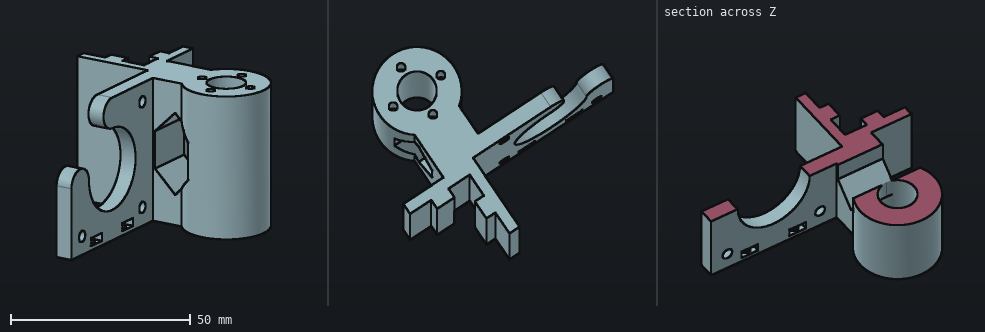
import cadquery as cq
import math

height = 42.0

profile_width = 20.0
wall_thickness = 3.45
wall_reach = profile_width + wall_thickness
rib_width = 5.8
rib_height = 3.0

tube_x = 24.5
tube_y = 2.5
tube_diameter = 25.0
bore_diameter = 11.0
arm_width = 15.0
tube_screw_diameter = 2.4
tube_screw_circle_radius = 8.0
tube_screw_depth = 10.0

window_width = 13.35
window_height = 24.0
window_side_height = 11.0
window_x = tube_x - bore_diameter / 2 - window_width / 2

plate_thickness = 5.0
motor_size = height
motor_y = -26.0
motor_z = height / 2
motor_opening_diameter = 24.0
motor_screw_spacing = 31.0
motor_screw_diameter = 3.2

nut_slot_width = 5.5
nut_slot_height = 2.3
nut_slot_floor = 1.4
nut_slot_spacing = 16.0
nut_screw_diameter = 3.2


def block(x_min, x_max, y_min, y_max):
    """Full-height block between the given X and Y limits."""
    return (
        cq.Workplane("XY")
        .box(x_max - x_min, y_max - y_min, height, centered=False)
        .translate((x_min, y_min, 0))
    )


def corner_walls():
    """Two walls at a right angle, with a rib in the middle of each inner face."""
    rib_start = wall_thickness + (profile_width - rib_width) / 2
    rib_end = rib_start + rib_width
    rib_top = wall_thickness + rib_height
    walls = block(-wall_reach, 0, 0, wall_thickness)
    walls = walls.union(block(-wall_thickness, 0, 0, wall_reach))
    walls = walls.union(block(-rib_end, -rib_start, wall_thickness, rib_top))
    return walls.union(block(-rib_top, -wall_thickness, rib_start, rib_end))


def clamp_arm():
    """Tube on an arm, with a bore, a window and four blind screw holes."""
    arm = block(-wall_thickness, tube_x, 0, tube_y + arm_width / 2)
    arm = arm.union(block(0, tube_x, tube_y - arm_width / 2, 0))
    tube = cq.Workplane("XY").center(tube_x, tube_y).circle(tube_diameter / 2).extrude(height)
    bore = cq.Workplane("XY").center(tube_x, tube_y).circle(bore_diameter / 2).extrude(height)
    screw_holes = (
        cq.Workplane("XY", origin=(tube_x, tube_y, height))
        .polarArray(tube_screw_circle_radius, 0, 360, 4)
        .circle(tube_screw_diameter / 2)
        .extrude(-tube_screw_depth)
    )
    half_width = window_width / 2
    half_side = window_side_height / 2
    window = (
        cq.Workplane("XZ", origin=(window_x, tube_y, height / 2))
        .moveTo(0, window_height / 2)
        .lineTo(half_width, half_side)
        .lineTo(half_width, -half_side)
        .lineTo(0, -window_height / 2)
        .lineTo(-half_width, -half_side)
        .lineTo(-half_width, half_side)
        .close()
        .extrude(tube_diameter / 2, both=True)
    )
    return arm.union(tube).cut(bore).cut(window).cut(screw_holes)


def motor_plate():
    """Hook-shaped plate: a round opening, open at the upper outer corner between two round tips."""
    opening_radius = motor_opening_diameter / 2
    opening_diagonal = opening_radius / math.sqrt(2)
    tip_radius = (motor_size / 2 - opening_radius) / 2
    tip_offset = opening_radius + tip_radius
    end_y = motor_y - motor_size / 2
    return (
        cq.Workplane("YZ")
        .moveTo(0, 0)
        .lineTo(0, height)
        .lineTo(motor_y, height)
        .threePointArc(
            (motor_y - tip_radius, motor_z + tip_offset),
            (motor_y, motor_z + opening_radius),
        )
        .threePointArc(
            (motor_y + opening_diagonal, motor_z - opening_diagonal),
            (motor_y - opening_radius, motor_z),
        )
        .threePointArc((motor_y - tip_offset, motor_z + tip_radius), (end_y, motor_z))
        .lineTo(end_y, 0)
        .close()
        .extrude(plate_thickness)
    )


def motor_screw_holes():
    """Holes at three corners of the motor screw square; the fourth falls in the open corner."""
    half = motor_screw_spacing / 2
    return (
        cq.Workplane("YZ", origin=(0, motor_y, motor_z))
        .pushPoints([(half, half), (half, -half), (-half, -half)])
        .circle(motor_screw_diameter / 2)
        .extrude(plate_thickness)
    )


def nut_traps():
    """Two slots across the plate, each with a screw hole through its floor."""
    slot_y = [motor_y + nut_slot_spacing / 2, motor_y - nut_slot_spacing / 2]
    slots = (
        cq.Workplane("YZ", origin=(0, 0, nut_slot_floor + nut_slot_height / 2))
        .pushPoints([(y, 0) for y in slot_y])
        .rect(nut_slot_width, nut_slot_height)
        .extrude(plate_thickness)
    )
    screw_holes = (
        cq.Workplane("XY")
        .pushPoints([(plate_thickness / 2, y) for y in slot_y])
        .circle(nut_screw_diameter / 2)
        .extrude(nut_slot_floor)
    )
    return slots.union(screw_holes)


plate = motor_plate().cut(motor_screw_holes()).cut(nut_traps())
result = corner_walls().union(clamp_arm()).union(plate)